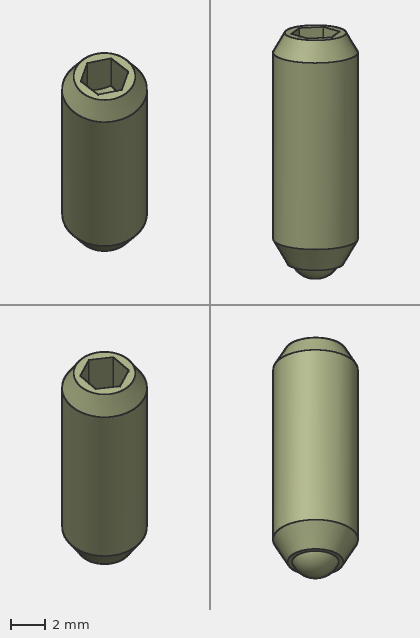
import cadquery as cq
import math

body_diameter = 5.0
body_length = 14.0
cone_half_angle = math.radians(30)
top_face_diameter = 3.62
nose_face_diameter = 3.28

ball_diameter = 3.0
ball_protrusion = 0.9

hex_across_flats = 2.5
hex_depth = 2.5
hex_floor_half_angle = math.radians(60)

body_radius = body_diameter / 2
top_face_radius = top_face_diameter / 2
nose_face_radius = nose_face_diameter / 2
top_cone_height = (body_radius - top_face_radius) / math.tan(cone_half_angle)
nose_cone_height = (body_radius - nose_face_radius) / math.tan(cone_half_angle)
ball_radius = ball_diameter / 2
ball_center_z = ball_radius - ball_protrusion
hex_corner_radius = hex_across_flats / math.sqrt(3)
hex_floor_height = hex_corner_radius / math.tan(hex_floor_half_angle)


def make_ball():
    """Full ball, its lower cap standing out of the nose face."""
    return cq.Workplane("XY").sphere(ball_radius).translate((0, 0, ball_center_z))


def make_hex_socket():
    """Hexagonal drive recess ending in a drilled conical floor."""
    rim_z = body_length - hex_depth
    tip_z = rim_z - hex_floor_height
    hexagon = (
        cq.Workplane("XY", origin=(0, 0, tip_z))
        .polygon(6, 2 * hex_corner_radius)
        .extrude(body_length - tip_z)
    )
    drilled_hole = (
        cq.Workplane("XZ")
        .moveTo(0, tip_z)
        .lineTo(hex_corner_radius, rim_z)
        .lineTo(hex_corner_radius, body_length)
        .lineTo(0, body_length)
        .close()
        .revolve(360, (0, 0, 0), (0, 1, 0))
    )
    return hexagon.intersect(drilled_hole)


def make_body():
    """Turned body with conical ends, a hex socket on top and a ball seat in the nose."""
    blank = (
        cq.Workplane("XZ")
        .moveTo(0, 0)
        .lineTo(nose_face_radius, 0)
        .lineTo(body_radius, nose_cone_height)
        .lineTo(body_radius, body_length - top_cone_height)
        .lineTo(top_face_radius, body_length)
        .lineTo(0, body_length)
        .close()
        .revolve(360, (0, 0, 0), (0, 1, 0))
    )
    return blank.cut(make_hex_socket()).cut(make_ball()).solids()


body = make_body()
ball = make_ball()

result = cq.Compound.makeCompound([body.val(), ball.val()])